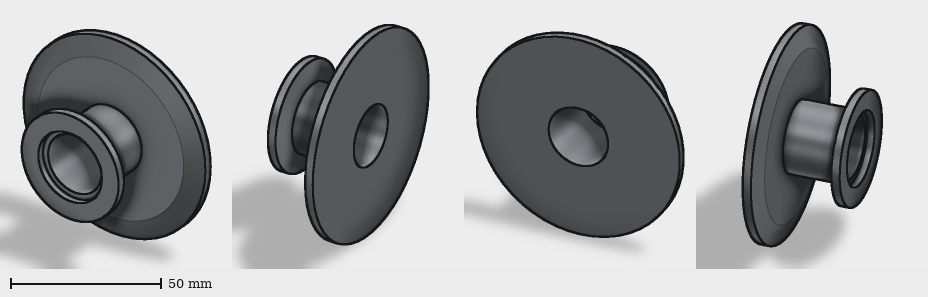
import cadquery as cq

length = 28.0
large_flange_diameter = 75.0
small_flange_diameter = 40.0
tube_diameter = 25.4
bore_diameter = 22.0

rim_thickness = 3.0
cone_length = 2.0
large_cone_inner_diameter = 60.0

seat_diameter = 26.2
seat_depth = 2.6

large_radius = large_flange_diameter / 2
small_radius = small_flange_diameter / 2
tube_radius = tube_diameter / 2
large_cone_inner_radius = large_cone_inner_diameter / 2

front_y = -length / 2
back_y = length / 2
small_cone_end_y = front_y + rim_thickness + cone_length
large_face_y = back_y - rim_thickness - cone_length


def make_body():
    """Revolve the outer half profile (radius, Y) about the Y axis."""
    profile = [
        (0, front_y),
        (small_radius, front_y),
        (small_radius, front_y + rim_thickness),
        (tube_radius, small_cone_end_y),
        (tube_radius, large_face_y),
        (large_cone_inner_radius, large_face_y),
        (large_radius, back_y - rim_thickness),
        (large_radius, back_y),
        (0, back_y),
    ]
    return cq.Workplane("XY").polyline(profile).close().revolve(360, (0, 0, 0), (0, 1, 0))


def make_hole(diameter, depth):
    """Cylinder that starts on the small flange face and runs toward +Y."""
    start = cq.Workplane("XZ", origin=(0, front_y, 0))
    return start.circle(diameter / 2).extrude(-depth)


through_bore = make_hole(bore_diameter, length)
ring_seat = make_hole(seat_diameter, seat_depth)

result = make_body().cut(through_bore).cut(ring_seat)